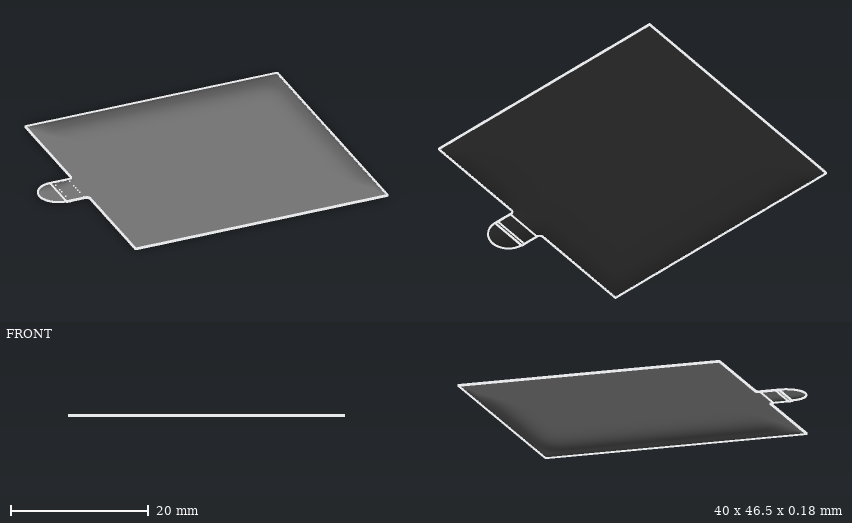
import cadquery as cq

side = 40.0
thickness = 0.18

overall_length = 46.5
tab_width = 6.0
tab_radius = tab_width / 2
tab_length = overall_length - side
root_fillet = 0.5

tip_thickness = 0.075
tip_start = tab_length - tab_radius

groove_start = 0.6
groove_end = 2.98
groove_depth = 0.025

sheet_edge_y = -side / 2
tab_end_y = sheet_edge_y - tab_length
arc_center_y = tab_end_y + tab_radius


def make_sheet():
    return cq.Workplane("XY").rect(side, side).extrude(thickness)


def make_tab():
    return (
        cq.Workplane("XY")
        .moveTo(-tab_radius, sheet_edge_y)
        .lineTo(-tab_radius, arc_center_y)
        .threePointArc((0, tab_end_y), (tab_radius, arc_center_y))
        .lineTo(tab_radius, sheet_edge_y)
        .close()
        .extrude(thickness)
    )


def round_tab_roots(body):
    """Fillet the two inside corners where the tab leaves the sheet."""
    root_box = cq.selectors.BoxSelector(
        (-tab_width, sheet_edge_y - root_fillet, -thickness),
        (tab_width, sheet_edge_y + root_fillet, 2 * thickness),
    )
    return body.edges("|Z").edges(root_box).fillet(root_fillet)


def make_underside_cut(start, end, depth):
    """Cutter across the tab between two distances from the sheet edge."""
    return (
        cq.Workplane("XY")
        .center(0, sheet_edge_y - (start + end) / 2)
        .rect(2 * tab_width, end - start)
        .extrude(depth)
    )


body = round_tab_roots(make_sheet().union(make_tab()))
tip_relief = make_underside_cut(tip_start, tab_length, thickness - tip_thickness)
groove = make_underside_cut(groove_start, groove_end, groove_depth)

result = body.cut(tip_relief).cut(groove)